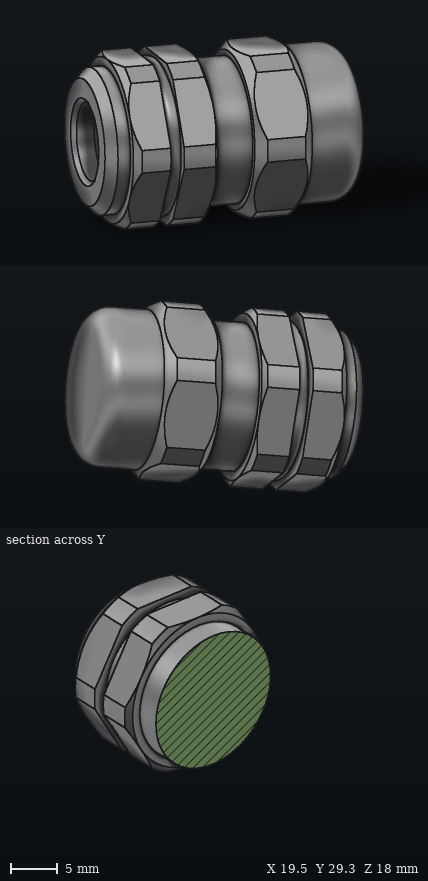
import cadquery as cq
import math


across_flats = 18.0
corner_diameter = 19.5
flat_radius = across_flats / 2
corner_radius = corner_diameter / 2

body_diameter = 16.0
end_face_diameter = 13.8
cap_diameter = 17.3
seal_ring_diameter = 17.5
seal_ring_section_radius = 1.0
bore_diameter = 8.5

lock_nut_start = 2.5
lock_nut_length = 4.0
nut_gap = 1.5
body_nut_length = 4.0
neck_length = 4.32
cap_nut_length = 6.5
total_length = 29.32

seal_ring_start = lock_nut_start + lock_nut_length
body_nut_start = seal_ring_start + nut_gap
neck_start = body_nut_start + body_nut_length
cap_nut_start = neck_start + neck_length
cap_start = cap_nut_start + cap_nut_length
cap_edge_radius = 2.5

bore_depth = lock_nut_start
bore_chamfer = 0.5
end_chamfer = (body_diameter - end_face_diameter) / 2
steep_angle = 45.0
shallow_angle = 30.0


def cylinder(diameter, start, end):
    """Round bar along Y between two stations."""
    return cq.Workplane("XZ", origin=(0, start, 0)).circle(diameter / 2).extrude(start - end)


def revolve_profile(profile):
    """Turn a closed (radius, station) profile about the Y axis."""
    return profile.close().revolve(360, (0, 0, 0), (0, 1, 0))


def chamfer_length(face_radius, angle):
    """Length along Y of a cone from face_radius out to the hexagon corners."""
    return (corner_radius - face_radius) * math.tan(math.radians(angle))


def hex_nut(start, length, front=None, back=None):
    """Hexagon with turned corners; front and back are (face radius, chamfer angle) or None."""
    end = start + length
    front_radius, front_angle = front or (corner_radius, 0)
    back_radius, back_angle = back or (corner_radius, 0)
    hexagon = (
        cq.Workplane("XZ", origin=(0, start, 0))
        .polygon(6, across_flats / math.cos(math.pi / 6))
        .extrude(-length)
    )
    blank = cq.Workplane("XY").moveTo(0, start).lineTo(front_radius, start)
    if front:
        blank = blank.lineTo(corner_radius, start + chamfer_length(front_radius, front_angle))
    if back:
        blank = blank.lineTo(corner_radius, end - chamfer_length(back_radius, back_angle))
    blank = blank.lineTo(back_radius, end).lineTo(0, end)
    return hexagon.intersect(revolve_profile(blank))


def threaded_body():
    """Plain body with a chamfered end, running into the cap nut."""
    return cylinder(body_diameter, 0, cap_start).faces("<Y").chamfer(end_chamfer)


def seal_ring():
    """Round-section ring resting on the lock nut and partly sunk into the body nut."""
    centre_radius = seal_ring_diameter / 2 - seal_ring_section_radius
    centre_station = seal_ring_start + seal_ring_section_radius
    end = centre_station + seal_ring_section_radius
    profile = (
        cq.Workplane("XY")
        .moveTo(0, seal_ring_start)
        .lineTo(centre_radius, seal_ring_start)
        .threePointArc((seal_ring_diameter / 2, centre_station), (centre_radius, end))
        .lineTo(0, end)
    )
    return revolve_profile(profile)


def cap():
    """Domed cap with a rounded outer edge."""
    return cylinder(cap_diameter, cap_start, total_length).faces(">Y").edges().fillet(cap_edge_radius)


def bore():
    """Blind recess in the threaded end, with a chamfered mouth."""
    profile = (
        cq.Workplane("XY")
        .lineTo(bore_diameter / 2 + bore_chamfer, 0)
        .lineTo(bore_diameter / 2, bore_chamfer)
        .lineTo(bore_diameter / 2, bore_depth)
        .lineTo(0, bore_depth)
    )
    return revolve_profile(profile)


flush_steep = (flat_radius, steep_angle)
flush_shallow = (flat_radius, shallow_angle)
cap_side = (cap_diameter / 2, steep_angle)

lock_nut = hex_nut(lock_nut_start, lock_nut_length, front=flush_steep)
body_nut = hex_nut(body_nut_start, body_nut_length, back=flush_shallow)
cap_nut = hex_nut(cap_nut_start, cap_nut_length, front=cap_side, back=cap_side)

result = (
    threaded_body()
    .union(lock_nut)
    .union(seal_ring())
    .union(body_nut)
    .union(cap_nut)
    .union(cap())
    .cut(bore())
)